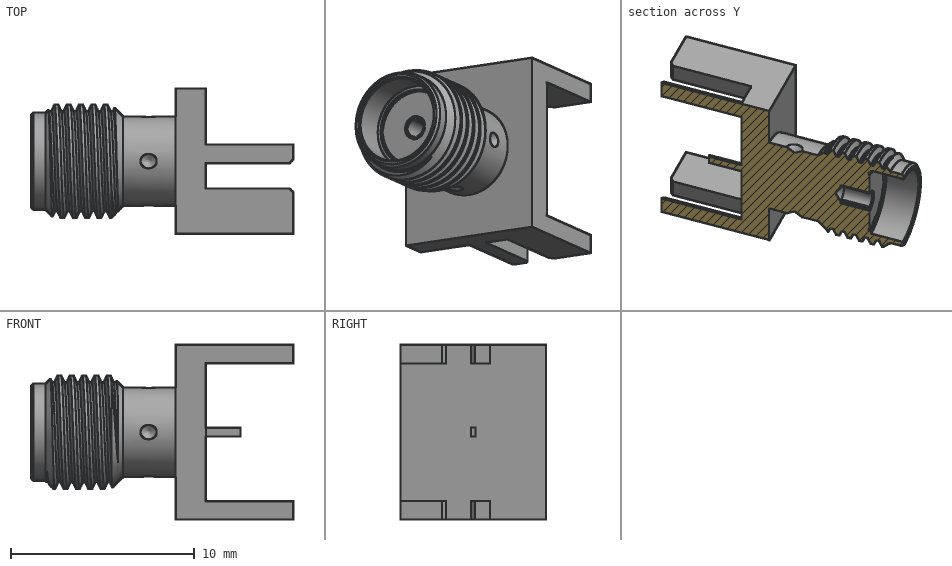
import cadquery as cq
import math

length = 14.27
width = 7.92
height = 9.52
flange_front = 7.86
flange_back = 9.5
leg_thickness = 1.01
narrow_leg_top = 0.91
board_slot_top = -0.11
board_slot_bottom = -1.48
leg_chamfer = 0.21

tab_end = 11.4
tab_height = 0.49
tab_thickness = 2 * abs(board_slot_top)

nose_radius = 2.65
nose_chamfer = 0.14
barrel_radius = 2.44

thread_radius = 3.08
thread_root_radius = 2.73
thread_start = 0.8
thread_end = 5.01
thread_pitch = 0.67
crest_width = 0.19
root_width = 0.14
groove_start = 0.2
groove_turns = 8
cutter_overshoot = 0.13
rod_overrun = 0.71

bore_radius = 2.3
bore_mouth_radius = 2.37
bore_depth = 1.93
recess_radius = 2.11
recess_depth = 0.14
insulator_radius = 2.03
insulator_standoff = 0.07

contact_radius = 0.61
contact_bore_radius = 0.5
contact_gap_depth = 0.07
contact_bore_depth = 1.71
contact_slot_width = 0.23
contact_slot_reach = 0.64
drill_slope = math.tan(math.radians(59))

dimple_position = 6.4
dimple_radius = 0.44
dimple_reach = 0.14


def box(x_min, x_max, y_min, y_max, z_height):
    """Box centred on Z, spanning the given X and Y limits."""
    return (
        cq.Workplane("XY")
        .box(x_max - x_min, y_max - y_min, z_height, centered=(False, False, True))
        .translate((x_min, y_min, 0))
    )


def revolve_about_x(points):
    """Solid of revolution about X from (x, radius) points."""
    return cq.Workplane("XY").polyline(points).close().revolve(360, (0, 0, 0), (1, 0, 0))


def make_barrel_envelope():
    return revolve_about_x([
        (0, 0),
        (0, nose_radius - nose_chamfer),
        (nose_chamfer, nose_radius),
        (thread_start, nose_radius),
        (thread_start + thread_radius - nose_radius, thread_radius),
        (thread_end - (thread_radius - barrel_radius), thread_radius),
        (thread_end, barrel_radius),
        (flange_front, barrel_radius),
        (flange_front, 0),
    ])


def make_thread_groove():
    """Right-handed trapezoidal groove that runs out through both end cones."""
    flank_slope = (thread_pitch - crest_width - root_width) / 2 / (thread_radius - thread_root_radius)
    outer_radius = thread_radius + cutter_overshoot
    root_half = root_width / 2
    outer_half = root_half + flank_slope * (outer_radius - thread_root_radius)
    path = cq.Wire.makeHelix(thread_pitch, groove_turns * thread_pitch, thread_root_radius)
    groove = (
        cq.Workplane("XZ")
        .polyline([
            (thread_root_radius, -root_half),
            (outer_radius, -outer_half),
            (outer_radius, outer_half),
            (thread_root_radius, root_half),
        ])
        .close()
        .sweep(cq.Workplane(obj=path), isFrenet=True)
    )
    return groove.rotate((0, 0, 0), (0, 1, 0), 90).translate((groove_start, 0, 0))


def make_threaded_barrel():
    """Barrel envelope cut from a rod that is threaded beyond both end cones."""
    rod = (
        cq.Workplane("YZ")
        .workplane(offset=-rod_overrun)
        .circle(thread_radius)
        .extrude(flange_front + 2 * rod_overrun)
    )
    return rod.cut(make_thread_groove()).intersect(make_barrel_envelope())


def make_socket():
    """Stepped bore with a raised insulator face at its floor."""
    mouth_chamfer = bore_mouth_radius - bore_radius
    recess_floor = bore_depth + recess_depth
    insulator_face = recess_floor - insulator_standoff
    return revolve_about_x([
        (0, 0),
        (0, bore_mouth_radius),
        (mouth_chamfer, bore_radius),
        (bore_depth, bore_radius),
        (bore_depth, recess_radius),
        (recess_floor, recess_radius),
        (recess_floor, insulator_radius),
        (insulator_face, insulator_radius),
        (insulator_face, 0),
    ])


def make_contact_hole():
    """Contact clearance, drilled contact bore and the slot that splits the contact."""
    face = bore_depth + recess_depth - insulator_standoff
    shoulder = face + contact_gap_depth
    floor = face + contact_bore_depth
    hole = revolve_about_x([
        (face, 0),
        (face, contact_radius),
        (shoulder, contact_radius),
        (shoulder, contact_bore_radius),
        (floor, contact_bore_radius),
        (floor + contact_bore_radius / drill_slope, 0),
    ])
    slot = box(face, floor, -contact_slot_width / 2, contact_slot_width / 2, 2 * contact_slot_reach)
    return hole.union(slot)


def make_dimples():
    """Four drill-point dimples spaced evenly around the barrel."""
    tip_radius = barrel_radius - dimple_radius / drill_slope
    outer_radius = barrel_radius + dimple_reach
    cone_radius = dimple_radius + dimple_reach * drill_slope
    cone = (
        cq.Workplane("XZ")
        .polyline([(0, tip_radius), (cone_radius, outer_radius), (0, outer_radius)])
        .close()
        .revolve(360, (0, 0, 0), (0, 1, 0))
        .translate((dimple_position, 0, 0))
    )
    dimples = cone
    for angle in (90, 180, 270):
        dimples = dimples.union(cone.rotate((0, 0, 0), (1, 0, 0), angle))
    return dimples


def make_flange_and_legs():
    flange = box(flange_front, flange_back, -width / 2, width / 2, height)
    narrow_leg = (
        box(flange_back, length, board_slot_top, narrow_leg_top, height)
        .edges(">X and <Y").chamfer(leg_chamfer)
    )
    wide_leg = (
        box(flange_back, length, -width / 2, board_slot_bottom, height)
        .edges(">X and >Y").chamfer(leg_chamfer)
    )
    opening = box(flange_back, length, -width / 2, width / 2, height - 2 * leg_thickness)
    tab = box(flange_back, tab_end, -tab_thickness / 2, tab_thickness / 2, tab_height)
    return flange.union(narrow_leg).union(wide_leg).cut(opening).union(tab)


barrel = make_threaded_barrel()
barrel = barrel.cut(make_socket()).cut(make_contact_hole()).cut(make_dimples())
result = barrel.union(make_flange_and_legs())